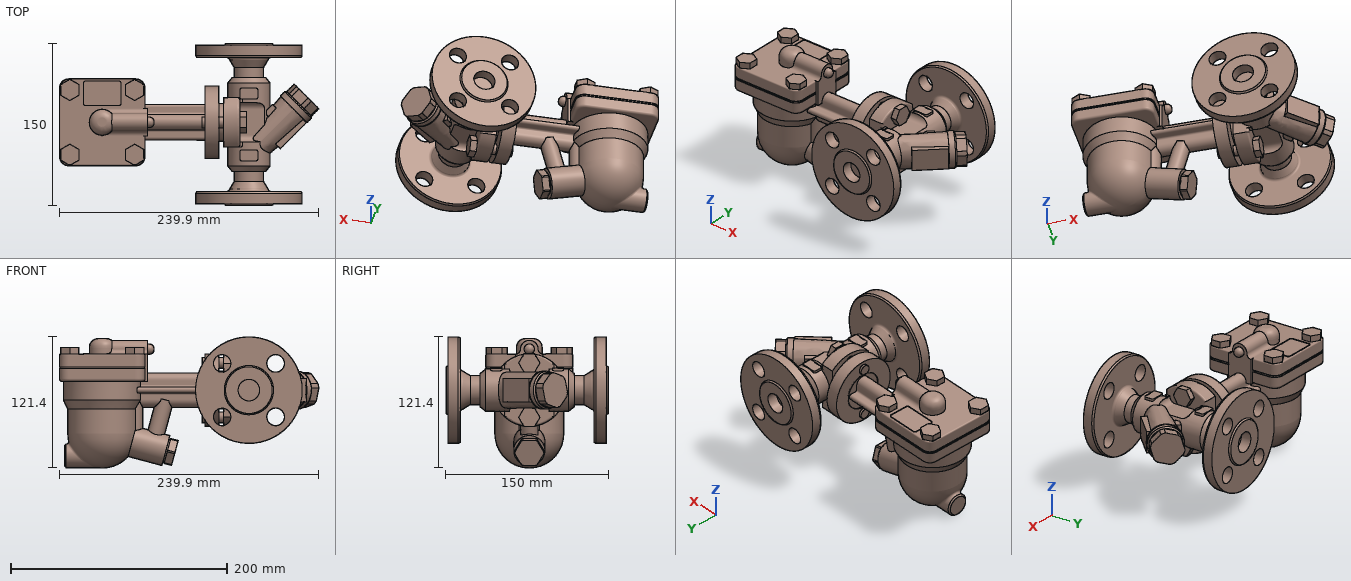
import cadquery as cq
import math

trap_x = -135.5
trap_y = 2.0
fuse_depth = 2.5

pipe_length = 150.0
line_flange_radius = 49.32
line_flange_thickness = 11.5
line_flange_chamfer = 1.0
line_flange_chamfer_depth = 2.0
line_face_radius = 21.5
line_face_base_radius = 22.8
line_face_height = 1.7
line_hole_diameter = 16.0
line_hole_offset = 24.7
line_bore_diameter = 20.0
line_bore_depth = 10.8
weld_neck_start = 52.5
weld_neck_flare_radius = 17.8
weld_neck_flare_start = 59.5
weld_neck_radius = 21.0
neck_radius = 13.55
shoulder_start = 43.7
shoulder_radius = 15.4
barrel_radius = 19.7
barrel_end = 38.5
pocket_floor = 13.2
pocket_width = 36.5
pocket_fillet = 6.2

pad_length = 16.5
pad_width = 10.3
pad_top = 20.5
pad_y = 28.5
pad_corner = 2.0

joint_x = -23.3
joint_flange_thickness = 15.0
joint_flange_radius = 33.5
joint_flange_half_width = 22.8
joint_flange_fillet = 2.0
joint_block_end = -5.8
joint_recess_radius = 18.7
joint_recess_depth = 1.2
joint_face_radius = 17.5
disc_right = -27.8
disc_thickness = 13.0
joint_bolt_z = 25.2
joint_bolt_diameter = 10.0
joint_bolt_tip = 2.5

bolt_head_flats = 17.0
bolt_head_height = 6.2

branch_start_y = -27.4
branch_angle = 45.0
branch_root_radius = 13.0
branch_root_half_height = 16.8
branch_root = 9.5
branch_end = 58.5
branch_end_radius = 16.8
collar_radius = 17.5
collar_end = 65.8
collar_chamfer = 1.5
cap_end = 75.4
cap_flats = 30.2
cap_corner_radius = 16.3
cap_turn = 45.0
rib_start = 24.0
rib_end = 58.0
short_rib_start = 37.2
short_rib_end = 48.0
rib_height = 21.5
rib_reach = 17.0

cover_length = 79.2
cover_width = 80.6
cover_corner = 9.0
cover_edge_fillet = 1.5
cover_top = 33.4
cover_bottom = 21.5
bowl_flange_top = 20.0
bowl_flange_bottom = 8.0
bowl_flange_fillet = 2.5
gasket_inset = 0.5
cover_bolt_spacing = 60.0
nameplate_length = 34.5
nameplate_width = 22.8
nameplate_thickness = 0.6
nameplate_y = 28.8
bowl_rim_radius = 36.0
bowl_rim_bottom = -9.0
bowl_radius = 32.05
bowl_step_bottom = -17.3
bowl_dome_z = -40.0

dome_radius = 12.0
dome_shoulder = 39.0
dome_top = 47.8
dome_flat_radius = 4.3
duct_radius = 8.2
duct_axis_z = 38.0
duct_end = -93.5
duct_pin_radius = 4.8
duct_pin_rounding = 4.3
duct_pin_end = -87.5

arm_height = 32.2
arm_thickness = 14.5
arm_wing_span = 33.0
arm_wing_thickness = 5.5
arm_wing_fillet = 2.0

drain_radius = 11.0
drain_z = -60.7
drain_end = -170.5
drain_chamfer = 1.5
drain_fillet = 2.0
riser_radius = 10.0
riser_x = -108.0
riser_bottom = -48.0
plug_tilt = 15.0
plug_boss_radius = 14.5
plug_boss_end = 61.0
plug_neck_radius = 10.5
plug_hex_start = 62.5
plug_hex_end = 69.5
plug_flats = 24.0
plug_corner_radius = 13.5
strut_diameter = 16.0
strut_top = -9.0
strut_distance = 48.0


def hexagon(plane, flats, height, turn=0.0):
    """Hexagonal prism; its corners lie on the plane's local x axis when turn is 0."""
    corners = flats / math.cos(math.radians(30))
    return cq.Workplane(plane).transformed(rotate=(0, 0, turn)).polygon(6, corners).extrude(height)


def trimmed_hexagon(plane, flats, height, corner_radius, turn=0.0):
    """Hexagonal prism whose corners are turned down to corner_radius."""
    blank = cq.Workplane(plane).circle(corner_radius).extrude(height)
    return hexagon(plane, flats, height, turn).intersect(blank)


def rounded_corner(centre, half_width, half_height):
    """Midpoint of the quarter ellipse drawn about centre."""
    diagonal = math.sin(math.radians(45))
    return (centre[0] + half_width * diagonal, centre[1] + half_height * diagonal)


def cylinder_x(x_start, x_end, y, z, radius):
    plane = cq.Plane(origin=(x_start, y, z), xDir=(0, 1, 0), normal=(1, 0, 0))
    return cq.Workplane(plane).circle(radius).extrude(x_end - x_start)


def line_half():
    """Turned half of the pipeline on the +Y side: barrel, weld neck and flange."""
    end = pipe_length / 2
    flange_face = end - line_face_height
    flange_back = flange_face - line_flange_thickness
    flare_middle = rounded_corner(
        (weld_neck_radius, weld_neck_flare_start),
        weld_neck_flare_radius - weld_neck_radius,
        flange_back - weld_neck_flare_start,
    )
    half = (
        cq.Workplane("XY")
        .moveTo(0, 0)
        .lineTo(barrel_radius, 0)
        .lineTo(barrel_radius, barrel_end)
        .lineTo(shoulder_radius, shoulder_start)
        .lineTo(neck_radius, shoulder_start)
        .lineTo(neck_radius, weld_neck_start)
        .lineTo(weld_neck_flare_radius, weld_neck_flare_start)
        .threePointArc(flare_middle, (weld_neck_radius, flange_back))
        .lineTo(line_flange_radius - line_flange_chamfer, flange_back)
        .lineTo(line_flange_radius, flange_back + line_flange_chamfer_depth)
        .lineTo(line_flange_radius, flange_face)
        .lineTo(line_face_base_radius, flange_face)
        .lineTo(line_face_radius, end)
        .lineTo(0, end)
        .close()
        .revolve(360, (0, 0, 0), (0, 1, 0))
    )
    bore = cq.Workplane("XZ", origin=(0, end, 0)).circle(line_bore_diameter / 2).extrude(line_bore_depth)
    span = 2 * line_hole_offset
    holes = (
        cq.Workplane("XZ", origin=(0, end, 0))
        .rect(span, span, forConstruction=True)
        .vertices()
        .circle(line_hole_diameter / 2)
        .extrude(end - barrel_end)
    )
    return half.cut(bore).cut(holes)


def flat_pads():
    pads = cq.Workplane("XY").pushPoints([(0, -pad_y), (0, pad_y)]).rect(pad_length, pad_width)
    return pads.extrude(pad_top).edges("|Z").fillet(pad_corner)


def branch_plane(distance):
    """Plane square to the strainer branch axis, local x horizontal and local y along Z."""
    angle = math.radians(branch_angle)
    along = (math.cos(angle), math.sin(angle), 0)
    origin = (distance * along[0], branch_start_y + distance * along[1], 0)
    return cq.Plane(origin=origin, xDir=(-along[1], along[0], 0), normal=along)


def strainer_branch():
    branch = (
        cq.Workplane(branch_plane(branch_root))
        .ellipse(branch_root_radius, branch_root_half_height)
        .workplane(offset=branch_end - branch_root)
        .circle(branch_end_radius)
        .loft()
    )
    collar = (
        cq.Workplane(branch_plane(branch_end))
        .circle(collar_radius)
        .extrude(collar_end - branch_end)
        .faces(cq.selectors.DirectionNthSelector(branch_plane(0).zDir, -1))
        .chamfer(collar_chamfer)
    )
    cap = trimmed_hexagon(
        branch_plane(collar_end), cap_flats, cap_end - collar_end, cap_corner_radius, cap_turn
    )
    body = branch.union(collar).union(cap)
    for side, start, end in ((-1, rib_start, rib_end), (1, short_rib_start, short_rib_end)):
        rib = cq.Workplane(branch_plane(start)).center(side * rib_reach / 2, 0)
        body = body.union(rib.rect(rib_reach, rib_height).extrude(end - start))
    return body


def joint_flange():
    """Round flange with two flats; a block as wide as the flats ties it to the barrel."""
    flange = cylinder_x(joint_x, joint_x + joint_flange_thickness, trap_y, 0, joint_flange_radius)
    width = 2 * joint_flange_half_width
    height = 2 * joint_flange_radius
    flats = cq.Workplane("XY", origin=(joint_x, trap_y, 0)).box(height, width, height)
    return flange.intersect(flats).faces(">X").edges().fillet(joint_flange_fillet)


def joint_block():
    length = joint_block_end - joint_x - fuse_depth
    centre_x = joint_block_end - length / 2
    width = 2 * joint_flange_half_width
    block = cq.Workplane("XY", origin=(centre_x, trap_y, 0)).box(length, width, 2 * barrel_radius)
    return block.edges(">X and |Z").fillet(joint_flange_fillet)


def bolt_pockets():
    """Flat-floored pockets across the barrel, above and below, that clear the bolt heads."""
    depth = joint_flange_radius - pocket_floor
    length = 2 * (barrel_radius + joint_flange_thickness)
    pockets = cq.Workplane("XY")
    for side in (-1, 1):
        centre_z = side * (pocket_floor + depth / 2)
        pocket = cq.Workplane("XY", origin=(0, trap_y, centre_z)).box(length, pocket_width, depth)
        floor = "<Z" if side > 0 else ">Z"
        pockets = pockets.add(pocket.faces(floor).edges("|X").fillet(pocket_fillet))
    return pockets


def joint_bolt(z):
    head_x = joint_x + joint_flange_thickness
    tip_x = disc_right - disc_thickness - joint_bolt_tip
    shank = cylinder_x(tip_x, head_x, trap_y, z, joint_bolt_diameter / 2)
    head_plane = cq.Plane(origin=(head_x, trap_y, z), xDir=(0, 1, 0), normal=(1, 0, 0))
    return shank.union(hexagon(head_plane, bolt_head_flats, bolt_head_height))


def make_connector():
    half = line_half()
    body = half.union(half.mirror("XZ")).union(flat_pads()).union(joint_block())
    for pocket in bolt_pockets().vals():
        body = body.cut(cq.Workplane(pocket))
    body = body.union(joint_flange()).union(strainer_branch())
    for z in (-joint_bolt_z, joint_bolt_z):
        body = body.union(joint_bolt(z))
    return body


def cover_slab(bottom, top, inset=0.0):
    slab = cq.Workplane("XY", origin=(trap_x, trap_y, bottom))
    slab = slab.rect(cover_length - 2 * inset, cover_width - 2 * inset).extrude(top - bottom)
    return slab.edges("|Z").fillet(cover_corner - inset)


def cover():
    body = cover_slab(cover_bottom, cover_top)
    body = body.faces(">Z").edges().fillet(cover_edge_fillet)
    body = body.union(cover_slab(bowl_flange_top, cover_bottom, gasket_inset))
    plate = (
        cq.Workplane("XY", origin=(trap_x, nameplate_y, cover_top))
        .rect(nameplate_length, nameplate_width)
        .extrude(nameplate_thickness)
        .edges("|Z")
        .fillet(pad_corner)
    )
    body = body.union(plate)
    half = cover_bolt_spacing / 2
    for x in (trap_x - half, trap_x + half):
        for y in (trap_y - half, trap_y + half):
            plane = cq.Plane(origin=(x, y, cover_top), xDir=(0, 1, 0), normal=(0, 0, 1))
            body = body.union(hexagon(plane, bolt_head_flats, bolt_head_height))
    return body


def cover_dome():
    shoulder_middle = rounded_corner(
        (dome_flat_radius, dome_shoulder), dome_radius - dome_flat_radius, dome_top - dome_shoulder
    )
    return (
        cq.Workplane("XZ", origin=(trap_x, trap_y, 0))
        .moveTo(0, cover_bottom)
        .lineTo(dome_radius, cover_bottom)
        .lineTo(dome_radius, dome_shoulder)
        .threePointArc(shoulder_middle, (dome_flat_radius, dome_top))
        .lineTo(0, dome_top)
        .close()
        .revolve(360, (0, 0, 0), (0, 1, 0))
    )


def cover_duct():
    """Half-round duct on the cover, flared where it meets the cover, with a round-ended pin."""
    flare = duct_axis_z - cover_top
    foot = duct_radius + flare
    left_flare = rounded_corner((-foot, duct_axis_z), flare, -flare)
    right_flare = rounded_corner((foot, duct_axis_z), -flare, -flare)
    plane = cq.Plane(origin=(trap_x, trap_y, 0), xDir=(0, 1, 0), normal=(1, 0, 0))
    duct = (
        cq.Workplane(plane)
        .moveTo(-foot, bowl_flange_bottom)
        .lineTo(-foot, cover_top)
        .threePointArc(left_flare, (-duct_radius, duct_axis_z))
        .threePointArc((0, duct_axis_z + duct_radius), (duct_radius, duct_axis_z))
        .threePointArc(right_flare, (foot, cover_top))
        .lineTo(foot, bowl_flange_bottom)
        .close()
        .extrude(duct_end - trap_x)
    )
    pin = cylinder_x(duct_end - fuse_depth, duct_pin_end, trap_y, duct_axis_z, duct_pin_radius)
    return duct.union(pin.faces(">X").edges().fillet(duct_pin_rounding))


def bowl():
    rim = cover_slab(bowl_flange_bottom, bowl_flange_top)
    rim = rim.faces("<Z").edges().fillet(bowl_flange_fillet)
    dome_middle = rounded_corner((0, bowl_dome_z), bowl_radius, -bowl_radius)
    cup = (
        cq.Workplane("XZ", origin=(trap_x, trap_y, 0))
        .moveTo(0, bowl_flange_top)
        .lineTo(bowl_rim_radius, bowl_flange_top)
        .lineTo(bowl_rim_radius, bowl_rim_bottom)
        .lineTo(bowl_radius, bowl_step_bottom)
        .lineTo(bowl_radius, bowl_dome_z)
        .threePointArc(dome_middle, (0, bowl_dome_z - bowl_radius))
        .close()
        .revolve(360, (0, 0, 0), (0, 1, 0))
    )
    return rim.union(cup)


def arm():
    """Cross-shaped arm carrying the inlet and outlet passages, ending in a disc flange."""
    disc_left = disc_right - disc_thickness
    plane = cq.Plane(origin=(trap_x, trap_y, 0), xDir=(0, 1, 0), normal=(1, 0, 0))
    length = disc_right - trap_x
    web = cq.Workplane(plane).slot2D(arm_height, arm_thickness, 90).extrude(length)
    wings = cq.Workplane(plane).slot2D(arm_wing_span, arm_wing_thickness).extrude(length)
    recess_floor = disc_left + joint_recess_depth
    disc = cylinder_x(disc_left, disc_right, trap_y, 0, joint_flange_radius)
    disc = disc.cut(cylinder_x(disc_left, recess_floor, trap_y, 0, joint_recess_radius))
    corner_reach = arm_thickness / 2 + arm_wing_fillet
    corners = cq.selectors.BoxSelector(
        (trap_x - fuse_depth, trap_y - corner_reach, -arm_wing_thickness),
        (disc_right + fuse_depth, trap_y + corner_reach, arm_wing_thickness),
    )
    body = web.union(wings).edges("|X").edges(corners).fillet(arm_wing_fillet).union(disc)
    body = body.union(cylinder_x(disc_right, joint_x, trap_y, 0, joint_face_radius))
    for z in (-joint_bolt_z, joint_bolt_z):
        body = body.cut(cylinder_x(disc_left, disc_right, trap_y, z, joint_bolt_diameter / 2))
    return body


def bowl_with_drain():
    """Bowl with a horizontal drain boss, blended where the boss leaves the dome."""
    boss = cylinder_x(drain_end, trap_x, trap_y, drain_z, drain_radius)
    body = bowl().union(boss.faces("<X").chamfer(drain_chamfer))
    blend = cq.selectors.BoxSelector(
        (trap_x - bowl_radius, trap_y - bowl_radius, drain_z - drain_radius - fuse_depth),
        (trap_x, trap_y + bowl_radius, bowl_dome_z - fuse_depth),
        boundingbox=True,
    )
    return body.edges(blend).fillet(drain_fillet)


def plug_plane(distance):
    """Plane square to the tilted plug axis, which starts at the centre of the bowl's dome."""
    tilt = math.radians(plug_tilt)
    along = (math.cos(tilt), 0, -math.sin(tilt))
    origin = (trap_x + distance * along[0], trap_y, bowl_dome_z + distance * along[2])
    return cq.Plane(origin=origin, xDir=(0, 1, 0), normal=along)


def plug_boss():
    boss = cq.Workplane(plug_plane(0)).circle(plug_boss_radius).extrude(plug_boss_end)
    neck = cq.Workplane(plug_plane(0)).circle(plug_neck_radius).extrude(plug_hex_end)
    plug = trimmed_hexagon(
        plug_plane(plug_hex_start), plug_flats, plug_hex_end - plug_hex_start, plug_corner_radius
    )
    return boss.union(neck).union(plug)


def riser_and_strut():
    riser = cq.Workplane("XY", origin=(riser_x, trap_y, riser_bottom)).circle(riser_radius)
    riser = riser.extrude(bowl_flange_bottom - riser_bottom)
    foot = plug_plane(strut_distance)
    tilt = math.radians(plug_tilt)
    plane = cq.Plane(origin=foot.origin, xDir=(0, 1, 0), normal=(math.sin(tilt), 0, math.cos(tilt)))
    strut_length = (strut_top - foot.origin.z) / math.cos(tilt)
    return riser.union(cq.Workplane(plane).circle(strut_diameter / 2).extrude(strut_length))


def make_trap():
    body = cover().union(bowl_with_drain())
    for feature in (cover_dome(), cover_duct(), arm(), plug_boss(), riser_and_strut()):
        body = body.union(feature)
    return body


connector = make_connector()
trap = make_trap()
result = cq.Compound.makeCompound([trap.val(), connector.val()])